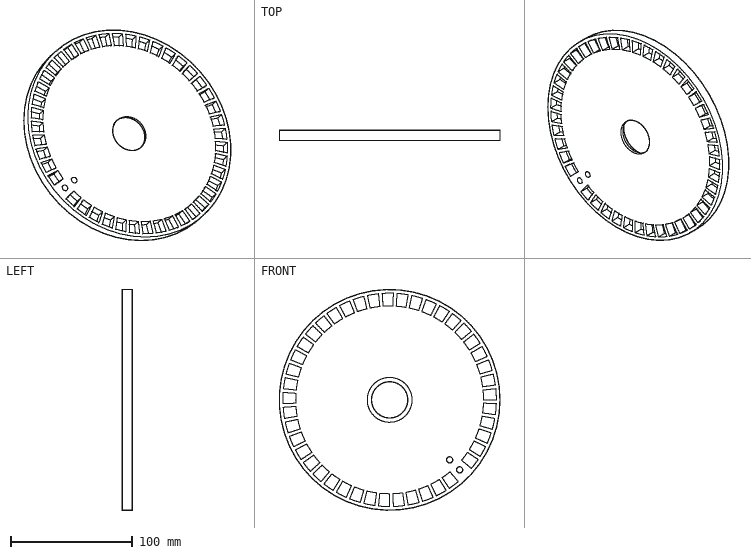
import cadquery as cq
import math

disc_diameter = 182.0
disc_thickness = 8.5

bore_diameter = 29.7
counterbore_diameter = 37.0
counterbore_depth = 6.0

pin_hole_diameter = 5.0
pin_hole_radii = (69.9, 81.5)
pin_hole_angle = -45

pocket_inner_radius = 77.4
pocket_outer_radius = 87.9
pocket_places = 45
pocket_pitch = 360 / pocket_places
pocket_span = 6.0
pocket_skin = 0.5
pocket_depth = disc_thickness - pocket_skin


def face_plane(y):
    """XZ plane at the given Y, with its normal toward -Y."""
    return cq.Workplane("XZ", origin=(0, y, 0))


def polar_point(radius, angle):
    """Point at a radius and an angle in degrees, measured from +X toward +Z."""
    return (radius * math.cos(math.radians(angle)), radius * math.sin(math.radians(angle)))


def cylinder_from_front(diameter, depth):
    """Cylinder on the disc axis, running from the front face into the disc."""
    return face_plane(-disc_thickness / 2).circle(diameter / 2).extrude(-depth)


def pin_holes():
    """Cutters for the pair of through holes."""
    centers = [polar_point(radius, pin_hole_angle) for radius in pin_hole_radii]
    front = face_plane(-disc_thickness / 2)
    return front.pushPoints(centers).circle(pin_hole_diameter / 2).extrude(-disc_thickness)


def meets_pin_hole(start_angle):
    """True where the pocket starting at this angle spans the line of the pin holes."""
    return (pin_hole_angle - start_angle) % 360 < pocket_span


def pocket_ring():
    """Cutters for the ring of pockets, each a sector between two arcs."""
    outlines = face_plane(disc_thickness / 2)
    for place in range(pocket_places):
        start = place * pocket_pitch
        if meets_pin_hole(start):
            continue
        middle = start + pocket_span / 2
        end = start + pocket_span
        outlines = (
            outlines.moveTo(*polar_point(pocket_inner_radius, start))
            .lineTo(*polar_point(pocket_outer_radius, start))
            .threePointArc(polar_point(pocket_outer_radius, middle), polar_point(pocket_outer_radius, end))
            .lineTo(*polar_point(pocket_inner_radius, end))
            .threePointArc(polar_point(pocket_inner_radius, middle), polar_point(pocket_inner_radius, start))
            .close()
        )
    return outlines.extrude(pocket_depth)


disc = cylinder_from_front(disc_diameter, disc_thickness)
bore = cylinder_from_front(bore_diameter, disc_thickness)
counterbore = cylinder_from_front(counterbore_diameter, counterbore_depth)

result = disc.cut(bore).cut(counterbore).cut(pin_holes()).cut(pocket_ring())